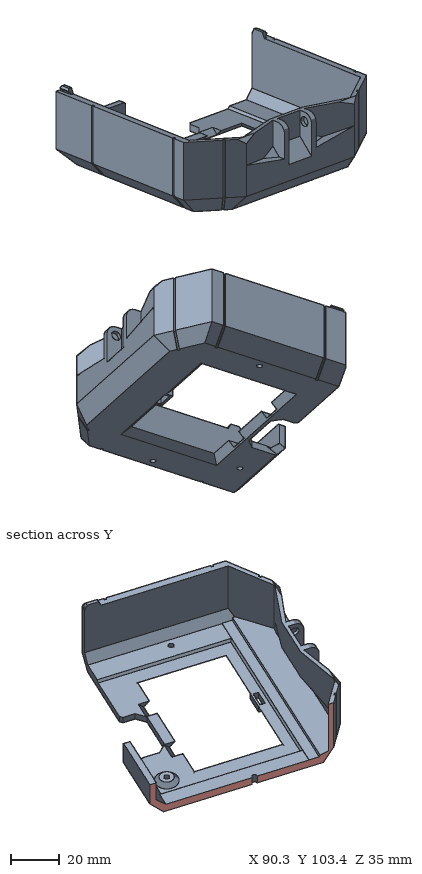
import cadquery as cq
import math


length = 90.3
half_width = 51.7
wall_top = 32.5
side_end_x = 75.4
corner_end_y = 30.5
bevel_height = 6.9
bevel_inset = 6.1
bottom_side_end_x = 75.1
bottom_hinge_x = 84.1
bottom_corner_y = 32.8
rim_chamfer = 2.2
beyond = 20.7

ledge_z = 4.1
pocket_z = 3.1
bevel_top_z = 8.4
side_inner_y = 48.5
side_foot_y = 45.3
left_inner_x = 2.9
hinge_inner_x = 87.7
corner_inner_x = 75.2
corner_inner_y = 30.7
band_start_x = 71.0
band_rise = 0.1
ramp_foot_x = 75.6
ramp_start_x = 76.0
ramp_start_z = 5.0
ramp_end_z = 7.9
pocket_half_width = 35.9
pocket_draft_y = 0.9
pocket_draft_x = 0.7

rear_end_x = 11.1
rear_corner_chamfer = 0.6
floor_corner_chamfer = 1.1
bay_half_width = 12.4
bay_shoulder_x = 17.6
tongue_x = 21.3
left_wall_top = 18.0
left_wall_end_y = -15.1
end_chamfer = 0.6

window_left = 26.0
window_right = 65.3
window_half_width = 28.4
notch_top_x = 21.0
notch_inner_y = 9.0
notch_outer_y = 16.9
clip_depth = 4.1
clip_half_width = 4.3
slot_left = 66.4
slot_width = 2.3
slot_length = 6.8

screw_x = 46.8
screw_y = 42.1
screw_diameter = 2.4
boss_x = 13.5
boss_y = -28.5
boss_base_radius = 5.1
boss_top_radius = 3.1

groove_width = 0.9
groove_depth = 0.7
groove_centres_x = (21.5, 69.3)
corner_groove_x = 85.0

bulge_x = 81.8
bulge_half_width = 29.4
bulge_foot_x = 87.5
recess_x = 83.4
recess_half_flat = 9.0
bulge_half_flat = 9.4
bulge_start_z = 12.5
recess_floor_z = 14.2
flank_z = 17.3
flank_slope = 0.16
lug_inner_y = 6.3
lug_radius = 4.2
pin_radius = 2.1
pin_depth = 1.7

hook_height = 2.5
hook_stem_y = 49.7
hook_tip_y = 50.7
hook_top_y = 49.9
hook_tip_drop = 0.9
hook_stem_height = 0.6
hook_taper = 1.1
front_hook_x = 0.5
front_hook_length = 6.4
rear_hook_length = 7.3


def box(x0, x1, y0, y1, z0, z1):
    return cq.Workplane("XY").box(x1 - x0, y1 - y0, z1 - z0, centered=False).translate((x0, y0, z0))


def plan_prism(points, z0, z1):
    return cq.Workplane("XY").workplane(offset=z0).polyline(points).close().extrude(z1 - z0)


def side_prism(points, y0, y1):
    """Extrude an outline of (x, z) points between two Y positions."""
    return cq.Workplane("XZ", origin=(0, y0, 0)).polyline(points).close().extrude(y0 - y1)


def end_prism(points, x0, x1):
    """Extrude an outline of (y, z) points between two X positions."""
    return cq.Workplane("YZ", origin=(x0, 0, 0)).polyline(points).close().extrude(x1 - x0)


def mirrored(points):
    """Close a half outline with positive Y by its mirror image below the X axis."""
    return points + [(x, -y) for x, y in reversed(points)]


def shell_body(inset=0.0):
    """Outer shape of the case, optionally shrunk inwards in plan."""
    top = mirrored([(0, half_width), (side_end_x, half_width), (length, corner_end_y)])
    bottom_y = half_width - bevel_inset
    bottom = mirrored([
        (bevel_inset, bottom_y),
        (bottom_side_end_x, bottom_y),
        (bottom_hinge_x, bottom_corner_y),
    ])

    def outline(points, z):
        sketch = cq.Workplane("XY").workplane(offset=z).polyline(points).close()
        return sketch.offset2D(-inset).wires().val() if inset else sketch.wires().val()

    rim_wire = outline(top, bevel_height)
    bevel = cq.Workplane(cq.Solid.makeLoft([outline(bottom, 0), rim_wire], True))
    walls = cq.Workplane(cq.Solid.extrudeLinear(rim_wire, [], cq.Vector(0, 0, wall_top - bevel_height)))
    return bevel.union(walls)


def cavity():
    """Inside of the case: the overlap of its plan, lengthwise and crosswise outlines."""
    top = wall_top + beyond
    plan = plan_prism(mirrored([
        (0, side_inner_y),
        (corner_inner_x, side_inner_y),
        (hinge_inner_x, corner_inner_y),
    ]), 0, top)
    crosswise = end_prism([
        (-side_foot_y, ledge_z), (side_foot_y, ledge_z), (side_inner_y, bevel_top_z),
        (side_inner_y, top), (-side_inner_y, top), (-side_inner_y, bevel_top_z),
    ], 0, length)
    left_foot_x = left_inner_x + bevel_top_z - ledge_z
    band_z = ledge_z + band_rise
    lengthwise = side_prism([
        (left_inner_x, top), (left_inner_x, bevel_top_z), (left_foot_x, ledge_z),
        (band_start_x, ledge_z), (band_start_x, band_z), (ramp_foot_x, band_z),
        (ramp_start_x, ramp_start_z), (hinge_inner_x, ramp_end_z), (hinge_inner_x, top),
    ], -half_width, half_width)
    return plan.intersect(crosswise).intersect(lengthwise)


def floor_pocket():
    """Shallow pocket around the window, with drafted sides."""
    inner_y = pocket_half_width - pocket_draft_y
    left_top_x = left_inner_x + bevel_top_z - ledge_z
    left_x = left_top_x + ledge_z - pocket_z
    crosswise = end_prism([
        (-inner_y, pocket_z), (inner_y, pocket_z),
        (pocket_half_width, ledge_z), (-pocket_half_width, ledge_z),
    ], 0, length)
    lengthwise = side_prism([
        (left_x, pocket_z), (band_start_x - pocket_draft_x, pocket_z),
        (band_start_x, ledge_z), (left_top_x, ledge_z),
    ], -half_width, half_width)
    return crosswise.intersect(lengthwise)


def grooves():
    """Shallow grooves running down the side walls, corner walls and bevels."""
    half = groove_width / 2
    slots = cq.Workplane()
    for x in groove_centres_x:
        slots = slots.add(box(x - half, x + half, -half_width, half_width, 0, wall_top))
    run = length - side_end_x
    drop = half_width - corner_end_y
    outward_angle = math.degrees(math.atan2(run, drop))
    groove_y = half_width - drop * (corner_groove_x - side_end_x) / run
    for side in (1, -1):
        slot = box(-beyond / 2, beyond, -half, half, 0, wall_top)
        slot = slot.rotate((0, 0, 0), (0, 0, 1), side * outward_angle)
        slots = slots.add(slot.translate((corner_groove_x, side * groove_y, 0)))
    skin = shell_body().cut(shell_body(groove_depth))
    return slots.combine().intersect(skin)


def hinge_bulge():
    """Inward bulge of the hinge wall, carried by a 45 degree underside."""
    plan = plan_prism(mirrored([
        (length - rim_chamfer, bulge_half_width),
        (hinge_inner_x, bulge_half_width),
        (bulge_x, bulge_half_flat),
    ]), 0, wall_top)
    underside_rise = bulge_foot_x - bulge_x
    above_underside = side_prism([
        (length - rim_chamfer, bevel_height), (bulge_foot_x, bevel_height),
        (bulge_foot_x, bulge_start_z), (bulge_x, bulge_start_z + underside_rise),
        (bulge_x, wall_top), (length - rim_chamfer, wall_top),
    ], -half_width, half_width)
    return plan.intersect(above_underside)


def hinge_recess():
    """Outside recess of the hinge wall with a sloped floor and rising flanks."""
    plan = plan_prism(mirrored([
        (length, corner_end_y),
        (recess_x, recess_half_flat),
    ]), 0, wall_top)
    above_floor = side_prism([
        (length, recess_floor_z), (recess_x, recess_floor_z + length - recess_x),
        (recess_x, wall_top), (length, wall_top),
    ], -half_width, half_width)
    flank_end_z = flank_z + flank_slope * (half_width - recess_half_flat)
    above_flanks = end_prism([
        (-half_width, wall_top), (-half_width, flank_end_z),
        (-recess_half_flat, flank_z), (-recess_half_flat, 0),
        (recess_half_flat, 0), (recess_half_flat, flank_z),
        (half_width, flank_end_z), (half_width, wall_top),
    ], recess_x, length)
    return plan.intersect(above_floor).intersect(above_flanks)


def hinge_lug(side):
    """One rounded lug with a blind pin hole on its inner face."""
    axis_x = length - lug_radius
    axis_z = wall_top - lug_radius
    profile = (
        cq.Workplane("XZ", origin=(0, lug_inner_y, 0))
        .moveTo(recess_x, recess_floor_z + length - recess_x)
        .lineTo(length, recess_floor_z)
        .lineTo(length, axis_z)
        .radiusArc((axis_x, wall_top), -lug_radius)
        .lineTo(recess_x, wall_top)
        .close()
    )
    lug = profile.extrude(lug_inner_y - recess_half_flat)
    pin = cq.Workplane("XZ", origin=(axis_x, lug_inner_y, axis_z)).circle(pin_radius).extrude(-pin_depth)
    lug = lug.cut(pin)
    return lug if side > 0 else lug.mirror("XZ")


def left_opening():
    """Material removed from the open left side, seen in plan."""
    chamfer = floor_corner_chamfer
    shoulder_run = tongue_x - bay_shoulder_x
    return plan_prism([
        (-beyond, half_width),
        (rear_end_x + rear_corner_chamfer, half_width),
        (rear_end_x, half_width - rear_corner_chamfer),
        (rear_end_x, bay_half_width + chamfer),
        (rear_end_x + chamfer, bay_half_width),
        (bay_shoulder_x, bay_half_width),
        (tongue_x, bay_half_width - shoulder_run),
        (tongue_x, shoulder_run - bay_half_width),
        (bay_shoulder_x, -bay_half_width),
        (-beyond, -bay_half_width),
    ], 0, wall_top)


def left_wall_trim():
    """Lowers the left wall, chamfers its end and leans the end face over the bevel."""
    above_wall = end_prism([
        (-side_inner_y, wall_top), (-side_inner_y, left_wall_top),
        (left_wall_end_y - end_chamfer, left_wall_top),
        (left_wall_end_y, left_wall_top - end_chamfer),
        (0, left_wall_top - end_chamfer), (0, wall_top),
    ], 0, left_inner_x)
    across_wall = cq.Plane(origin=(0, 0, bevel_height), xDir=(0, 1, 0), normal=(2, 0, 1))
    lean_depth = 8.3
    end_face = (
        cq.Workplane(across_wall)
        .moveTo(left_wall_end_y, beyond)
        .lineTo(left_wall_end_y, 0)
        .lineTo(-bay_half_width, -lean_depth)
        .lineTo(-bay_half_width, beyond)
        .close()
        .extrude(beyond, both=True)
    )
    end_face = end_face.intersect(box(0, rear_end_x, -half_width, 0, 0, wall_top))
    return above_wall.union(end_face)


def window():
    """Window with a sharp upper edge, opening at 45 degrees downwards."""
    opening_length = window_right - window_left
    centre_x = (window_left + window_right) / 2
    opening = (
        cq.Workplane("XY", origin=(centre_x, 0, 0))
        .rect(opening_length + 2 * pocket_z, 2 * (window_half_width + pocket_z))
        .workplane(offset=pocket_z)
        .rect(opening_length, 2 * window_half_width)
        .loft(ruled=True)
    )
    clip = box(window_right, window_right + clip_depth, -clip_half_width, clip_half_width, 0, pocket_z)
    opening = opening.cut(clip)
    for y0, y1 in ((notch_inner_y, notch_outer_y), (-notch_outer_y, -notch_inner_y)):
        notch = side_prism([
            (notch_top_x, pocket_z),
            (window_left, pocket_z),
            (window_left, pocket_z - (window_left - notch_top_x)),
        ], y0, y1)
        opening = opening.union(notch)
    slot = box(slot_left, slot_left + slot_width, -slot_length / 2, slot_length / 2, 0, pocket_z)
    return opening.union(slot)


def snap_hook(x0, hook_length, side):
    """Trapezoidal hook on a side wall rim, with its lip facing outwards."""
    top = wall_top + hook_height
    lip = end_prism([
        (side * side_inner_y, wall_top), (side * side_inner_y, top),
        (side * hook_top_y, top), (side * hook_tip_y, top - hook_tip_drop),
        (side * hook_stem_y, wall_top + hook_stem_height), (side * hook_stem_y, wall_top),
    ], x0, x0 + hook_length)
    trapezoid = side_prism([
        (x0, wall_top), (x0 + hook_taper, top),
        (x0 + hook_length - hook_taper, top), (x0 + hook_length, wall_top),
    ], -half_width, half_width)
    return lip.intersect(trapezoid)


def screw_hole(x, y):
    return cq.Workplane("XY", origin=(x, y, 0)).circle(screw_diameter / 2).extrude(bevel_height)


body = shell_body()
body = body.cut(side_prism([
    (length - rim_chamfer, wall_top), (length, wall_top), (length, wall_top - rim_chamfer),
], -half_width, half_width))
body = body.cut(cavity()).cut(floor_pocket()).cut(grooves())
body = body.union(hinge_bulge()).cut(hinge_recess())
for lug_side in (1, -1):
    body = body.union(hinge_lug(lug_side))

body = body.cut(left_opening()).cut(left_wall_trim()).cut(window())

boss = (
    cq.Workplane("XY", origin=(boss_x, boss_y, pocket_z))
    .circle(boss_base_radius)
    .workplane(offset=boss_base_radius - boss_top_radius)
    .circle(boss_top_radius)
    .loft()
)
body = body.union(boss)
for hole_x, hole_y in ((screw_x, screw_y), (screw_x, -screw_y), (boss_x, boss_y)):
    body = body.cut(screw_hole(hole_x, hole_y))

body = body.union(snap_hook(front_hook_x, front_hook_length, -1))
body = body.union(snap_hook(rear_end_x, rear_hook_length, 1))

result = body